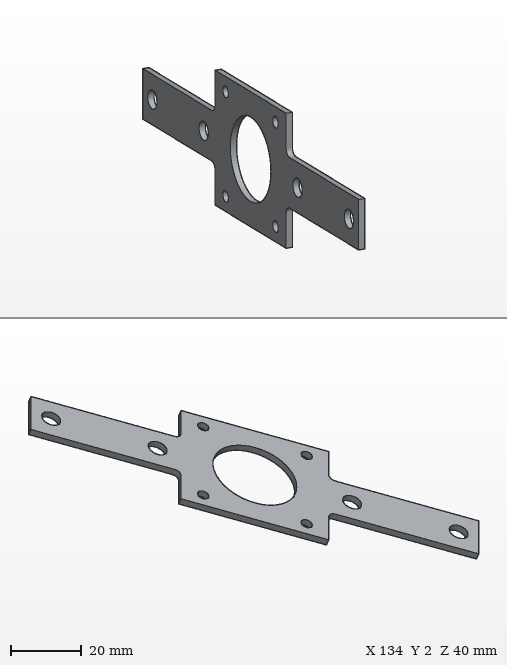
import cadquery as cq

length = 134.0
thickness = 2.0
plate_width = 44.2
plate_height = 40.0
arm_height = 15.0
corner_radius = 2.0

bore_diameter = 25.0
screw_spacing = 31.0
screw_diameter = 3.4
arm_hole_diameter = 5.6
inner_hole_offset = 29.1
outer_hole_offset = 61.0


def holes(points, diameter):
    """Cylinders along Y that cut through the plate at the given (x, z) points."""
    return (
        cq.Workplane("XZ")
        .pushPoints(points)
        .circle(diameter / 2)
        .extrude(thickness, both=True)
    )


centre_plate = cq.Workplane("XY").box(plate_width, thickness, plate_height)
arms = cq.Workplane("XY").box(length, thickness, arm_height)
body = centre_plate.union(arms)

inside_corners = cq.selectors.BoxSelector(
    (-plate_width / 2 - corner_radius, -thickness, -arm_height / 2 - corner_radius),
    (plate_width / 2 + corner_radius, thickness, arm_height / 2 + corner_radius),
)
body = body.edges("|Y").edges(inside_corners).fillet(corner_radius)

screw_offset = screw_spacing / 2
screw_points = [(x, z) for x in (-screw_offset, screw_offset) for z in (-screw_offset, screw_offset)]
arm_points = [(side * offset, 0) for side in (-1, 1) for offset in (inner_hole_offset, outer_hole_offset)]

result = (
    body.cut(holes([(0, 0)], bore_diameter))
    .cut(holes(screw_points, screw_diameter))
    .cut(holes(arm_points, arm_hole_diameter))
)